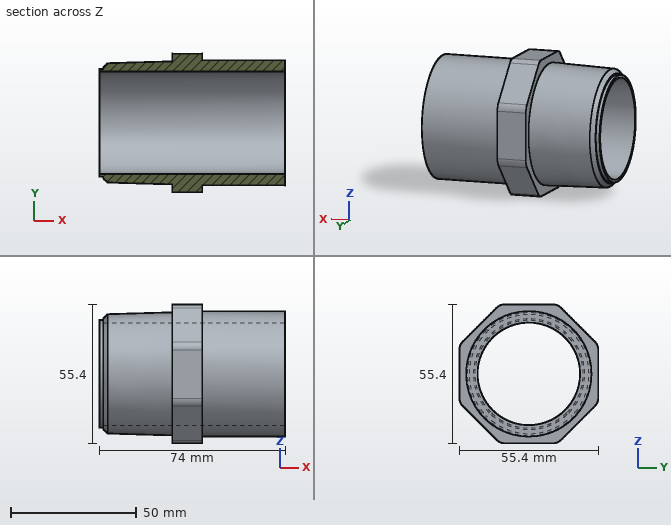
import cadquery as cq

lip_end = 1.5
chamfer_end = 3.25
collar_start = 28.9
collar_end = 41.0
total_length = 74.0

bore_diameter = 40.8
lip_diameter = 43.1
chamfer_start_diameter = 44.25
taper_small_diameter = 47.65
taper_large_diameter = 49.1
spigot_diameter = 50.0

across_flats = 55.4
corner_radius = 4.45


def cylinder(diameter, start, end):
    """Cylinder along X between two stations."""
    return cq.Workplane("YZ", origin=(start, 0, 0)).circle(diameter / 2).extrude(end - start)


def tapered_end():
    """Lip, lead-in chamfer and tapered male end, revolved about X."""
    return (
        cq.Workplane("XZ")
        .moveTo(0, 0)
        .lineTo(0, lip_diameter / 2)
        .lineTo(lip_end, lip_diameter / 2)
        .lineTo(lip_end, chamfer_start_diameter / 2)
        .lineTo(chamfer_end, taper_small_diameter / 2)
        .lineTo(collar_start, taper_large_diameter / 2)
        .lineTo(collar_start, 0)
        .close()
        .revolve(360, (0, 0, 0), (1, 0, 0))
    )


def collar():
    """Octagon with rounded corners and flats facing Y and Z."""
    width = collar_end - collar_start
    plane = cq.Workplane("YZ", origin=(collar_start, 0, 0))
    square = plane.rect(across_flats, across_flats).extrude(width)
    diamond = square.rotate((0, 0, 0), (1, 0, 0), 45)
    return square.intersect(diamond).edges("|X").fillet(corner_radius)


spigot = cylinder(spigot_diameter, collar_end, total_length)
bore = cylinder(bore_diameter, 0, total_length)

result = tapered_end().union(collar()).union(spigot).cut(bore)